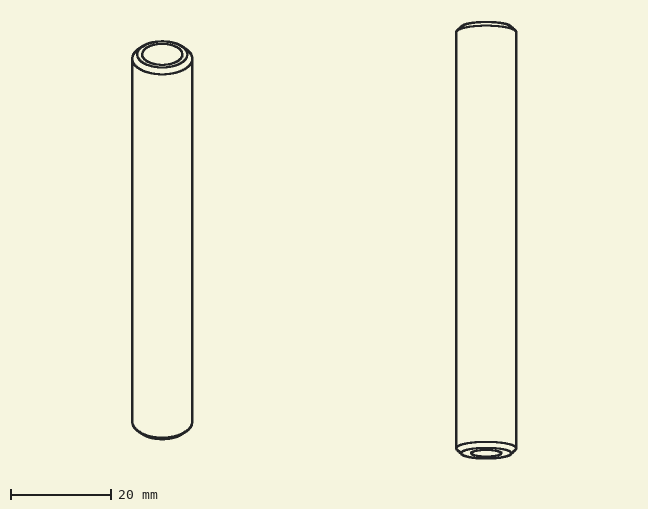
import cadquery as cq

outer_diameter = 12.0
length = 87.0
end_chamfer = 1.0

bore_diameter = 6.0
counterbore_diameter = 8.0
counterbore_depth = 20.0


def make_sleeve_body():
    """Round bar standing on the XY plane, chamfered at both ends."""
    bar = cq.Workplane("XY").circle(outer_diameter / 2).extrude(length)
    return bar.faces("<Z or >Z").chamfer(end_chamfer)


def cut_stepped_bore(body):
    """Through bore with a wider counterbore entering from the top end."""
    return body.faces(">Z").workplane().cboreHole(
        bore_diameter, counterbore_diameter, counterbore_depth
    )


result = cut_stepped_bore(make_sleeve_body())